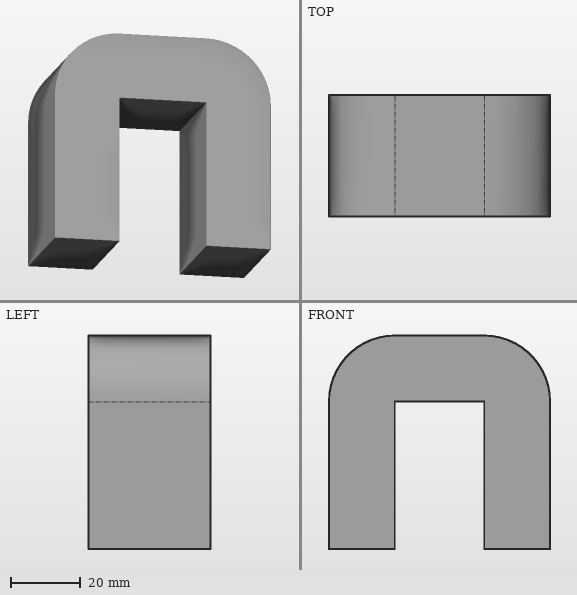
import cadquery as cq

width = 63.5
depth = 35.0
height = 61.35

wall = 19.0
corner_radius = wall
slot_width = width - 2 * wall
slot_height = height - wall

edge_chamfer = 0.1


def make_body():
    """Block centred on the origin with its two upper side edges rounded."""
    block = cq.Workplane("XY").box(width, depth, height)
    return block.faces(">Z").edges("|Y").fillet(corner_radius)


def make_slot():
    """Rectangular channel through the full depth, open at the bottom."""
    slot = cq.Workplane("XY").box(slot_width, depth, slot_height)
    return slot.translate((0, 0, (slot_height - height) / 2))


def break_end_edges(body):
    """Chamfer the whole outline of the front and back faces, slot included."""
    return body.faces("|Y").edges().chamfer(edge_chamfer)


result = break_end_edges(make_body().cut(make_slot()))